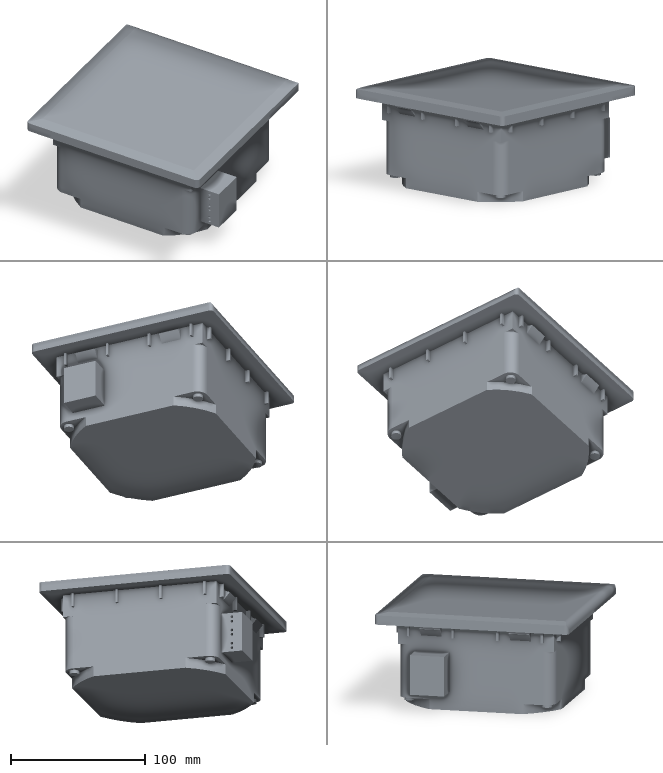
import cadquery as cq

plate_side = 148.0
plate_thickness = 8.4
plate_corner_radius = 3.0
bevel_run = 8.8
bevel_drop = 1.3
back_edge_radius = 5.1

total_height = 73.5
body_side = 119.0
body_corner_radius = 8.0
square_corner_depth = 16.9
foot_height = 7.6
foot_radius = 69.4

screw_diameter = 7.5
screw_offset = 52.6
screw_height = 2.5

rib_spacing = 34.1
rib_count = 4
rib_width = 1.6
rib_height = 10.0
rib_projection = 3.1
clip_width = 15.7
clip_spacing = 2 * rib_spacing
clip_top_gap = 1.8
clip_upper_drop = 1.8
clip_height = 7.8
clip_projection = 5.1

connector_reach = 75.5
connector_front = -46.2
connector_length = 25.9
connector_bottom = 13.8
connector_height = 30.0
pin_hole_diameter = 2.1
pin_hole_depth = 4.5
pin_gap = 3.5
pin_pair_pitch = 10.3
pin_pair_count = 3

plate_half = plate_side / 2
body_half = body_side / 2
plate_bottom = total_height - plate_thickness
bevel_edge_z = total_height - bevel_drop
round_corner_top = plate_bottom - square_corner_depth
joint_overlap = 1.5


def make_plate():
    """Plate bevelled on three sides and rounded over along its back (+Y) edge."""
    blank = (
        cq.Workplane("XY")
        .workplane(offset=plate_bottom)
        .rect(plate_side, plate_side)
        .extrude(plate_thickness)
        .edges("|Z")
        .fillet(plate_corner_radius)
    )
    side_bevels = (
        cq.Workplane("XZ")
        .moveTo(-plate_half, plate_bottom)
        .lineTo(plate_half, plate_bottom)
        .lineTo(plate_half, bevel_edge_z)
        .lineTo(plate_half - bevel_run, total_height)
        .lineTo(-plate_half + bevel_run, total_height)
        .lineTo(-plate_half, bevel_edge_z)
        .close()
        .extrude(plate_half, both=True)
    )
    front_to_back = (
        cq.Workplane("YZ")
        .moveTo(-plate_half, plate_bottom)
        .lineTo(plate_half, plate_bottom)
        .lineTo(plate_half, total_height - back_edge_radius)
        .radiusArc((plate_half - back_edge_radius, total_height), -back_edge_radius)
        .lineTo(-plate_half + bevel_run, total_height)
        .lineTo(-plate_half, bevel_edge_z)
        .close()
        .extrude(plate_half, both=True)
    )
    return blank.intersect(side_bevels).intersect(front_to_back)


def make_body():
    """Box with square upper corners, rounded lower corners and a round-cornered foot."""
    upper = (
        cq.Workplane("XY")
        .workplane(offset=round_corner_top)
        .rect(body_side, body_side)
        .extrude(square_corner_depth)
    )
    lower = (
        cq.Workplane("XY")
        .workplane(offset=foot_height)
        .rect(body_side, body_side)
        .extrude(round_corner_top - foot_height)
        .edges("|Z")
        .fillet(body_corner_radius)
    )
    foot = (
        cq.Workplane("XY")
        .rect(body_side, body_side)
        .extrude(foot_height)
        .intersect(cq.Workplane("XY").circle(foot_radius).extrude(foot_height))
    )
    return upper.union(lower).union(foot)


def make_screws():
    """Four cylindrical heads hanging below the rounded corners."""
    return (
        cq.Workplane("XY")
        .workplane(offset=foot_height - screw_height)
        .rect(2 * screw_offset, 2 * screw_offset, forConstruction=True)
        .vertices()
        .circle(screw_diameter / 2)
        .extrude(screw_height + joint_overlap)
    )


def make_ribs():
    """Bars across the box in both directions; only their ends stand out as ribs."""
    bar_length = body_side + 2 * rib_projection
    row = (
        cq.Workplane("XY")
        .workplane(offset=plate_bottom - rib_height)
        .rarray(rib_spacing, 1.5, rib_count, 1)
        .rect(rib_width, bar_length)
        .extrude(rib_height)
    )
    return row.union(row.rotate((0, 0, 0), (0, 0, 1), 90))


def make_clips():
    """Two wedge bars along X whose ends are the snap clips on the -X and +X faces."""
    top = plate_bottom - clip_top_gap
    tip_z = top - clip_upper_drop
    bottom = top - clip_height
    tip_x = body_half + clip_projection
    wedge_bar = (
        cq.Workplane("XZ")
        .moveTo(-body_half, bottom)
        .lineTo(body_half, bottom)
        .lineTo(tip_x, tip_z)
        .lineTo(body_half, top)
        .lineTo(-body_half, top)
        .lineTo(-tip_x, tip_z)
        .close()
        .extrude(clip_width / 2, both=True)
    )
    front = wedge_bar.translate((0, -clip_spacing / 2, 0))
    back = wedge_bar.translate((0, clip_spacing / 2, 0))
    return front.union(back)


def make_connector():
    """Block on the +X face with a column of paired pin holes in its front face."""
    inner_x = body_half - joint_overlap
    block = cq.Workplane("XY").box(
        connector_reach - inner_x, connector_length, connector_height, centered=False
    ).translate((inner_x, connector_front, connector_bottom))
    hole_x = (body_half + connector_reach) / 2
    middle_z = connector_bottom + connector_height / 2
    hole_points = []
    for pair in range(pin_pair_count):
        pair_z = middle_z + (pair - (pin_pair_count - 1) / 2) * pin_pair_pitch
        for side in (-1, 1):
            hole_points.append((hole_x, pair_z + side * pin_gap / 2))
    holes = (
        cq.Workplane("XZ", origin=(0, connector_front, 0))
        .pushPoints(hole_points)
        .circle(pin_hole_diameter / 2)
        .extrude(-pin_hole_depth)
    )
    return block.cut(holes)


result = (
    make_plate()
    .union(make_body())
    .union(make_screws())
    .union(make_ribs())
    .union(make_clips())
    .union(make_connector())
)